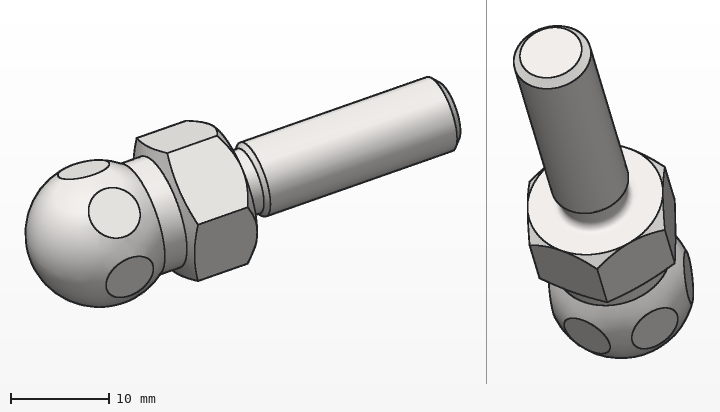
import cadquery as cq
import math

total_length = 47.0
across_flats = 14.0
ball_radius = 7.5
collar_radius = 6.0
shank_radius = 4.0
relief_radius = 3.5

ball_tip_y = -ball_radius
collar_start_y = math.sqrt(ball_radius**2 - collar_radius**2)
collar_length = 2.5
hex_start_y = collar_start_y + collar_length
hex_length = 7.5
hex_end_y = hex_start_y + hex_length
relief_length = 3.0
shank_start_y = hex_end_y + relief_length
shank_end_y = ball_tip_y + total_length

front_cone_angle = 20.0
back_chamfer_angle = 45.0
relief_fillet_radius = 1.0
relief_chamfer = shank_radius - relief_radius
tip_chamfer = 0.8

flat_distance = across_flats / 2
corner_radius = flat_distance / math.cos(math.radians(30))


def hex_prism(start_y, end_y):
    """Hexagonal prism between two stations on Y."""
    corner_angles = [math.radians(30 + 60 * i) for i in range(6)]
    corners = [(corner_radius * math.cos(a), corner_radius * math.sin(a)) for a in corner_angles]
    return (
        cq.Workplane("XZ", origin=(0, start_y, 0))
        .polyline(corners)
        .close()
        .extrude(start_y - end_y)
    )


def revolve_about_y(profile):
    """Full turn about the Y axis of a closed (radius, y) profile."""
    return profile.close().revolve(360, (0, 0, 0), (0, 1, 0))


def ball_and_collar():
    """Ball with six flats in line with the hexagon sides, running into a plain collar."""
    turned = revolve_about_y(
        cq.Workplane("XY")
        .moveTo(0, ball_tip_y)
        .threePointArc((ball_radius, 0), (collar_radius, collar_start_y))
        .lineTo(collar_radius, hex_start_y)
        .lineTo(0, hex_start_y)
    )
    return turned.intersect(hex_prism(ball_tip_y, hex_start_y))


def hexagon():
    """Hexagon with a shallow cone towards the ball and a chamfer towards the shank."""
    front_cone_length = (corner_radius - collar_radius) * math.tan(math.radians(front_cone_angle))
    chamfer_length = (corner_radius - flat_distance) * math.tan(math.radians(back_chamfer_angle))
    envelope = revolve_about_y(
        cq.Workplane("XY")
        .moveTo(0, hex_start_y)
        .lineTo(collar_radius, hex_start_y)
        .lineTo(corner_radius, hex_start_y + front_cone_length)
        .lineTo(corner_radius, hex_end_y - chamfer_length)
        .lineTo(flat_distance, hex_end_y)
        .lineTo(0, hex_end_y)
    )
    return hex_prism(hex_start_y, hex_end_y).intersect(envelope)


def shank():
    """Shank with an undercut next to the hexagon and a chamfered tip."""
    fillet_end_y = hex_end_y + relief_fillet_radius
    fillet_outer_radius = relief_radius + relief_fillet_radius
    diagonal = relief_fillet_radius * math.cos(math.radians(45))
    fillet_middle = (fillet_outer_radius - diagonal, fillet_end_y - diagonal)
    return revolve_about_y(
        cq.Workplane("XY")
        .moveTo(0, hex_end_y)
        .lineTo(fillet_outer_radius, hex_end_y)
        .threePointArc(fillet_middle, (relief_radius, fillet_end_y))
        .lineTo(relief_radius, shank_start_y - relief_chamfer)
        .lineTo(shank_radius, shank_start_y)
        .lineTo(shank_radius, shank_end_y - tip_chamfer)
        .lineTo(shank_radius - tip_chamfer, shank_end_y)
        .lineTo(0, shank_end_y)
    )


result = ball_and_collar().union(hexagon()).union(shank())